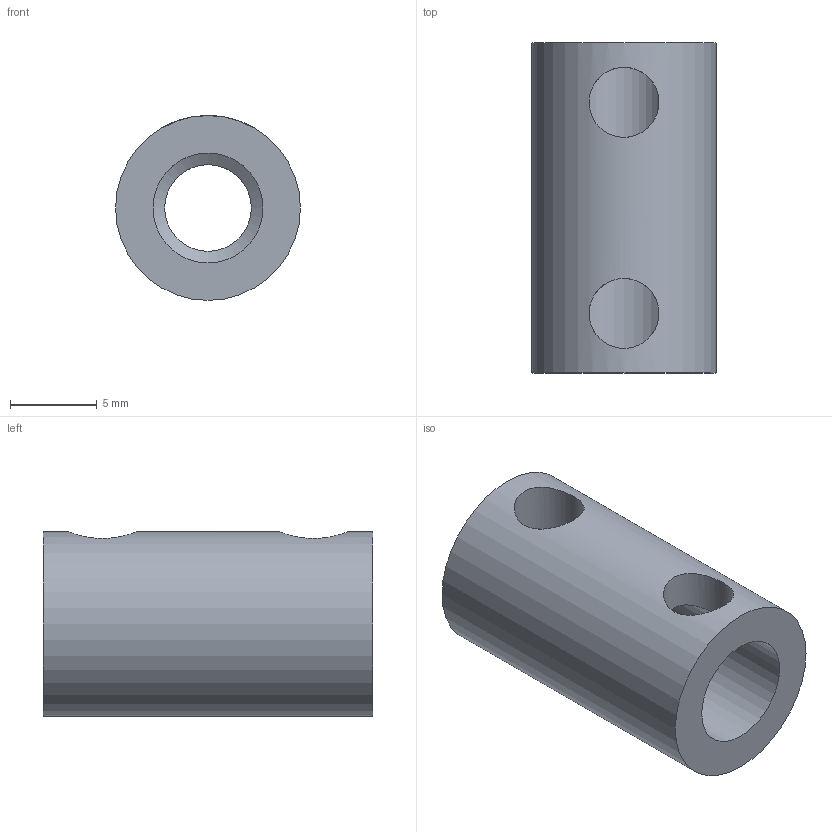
import cadquery as cq
import math

outer_diameter = 10.67
length = 19.05
large_bore_diameter = 6.35
small_bore_diameter = 5.0
drill_point_angle = 118.0
screw_hole_diameter = 4.04
screw_hole_inset = 3.43

outer_radius = outer_diameter / 2
large_bore_radius = large_bore_diameter / 2
small_bore_radius = small_bore_diameter / 2
half_length = length / 2
large_bore_end = 0.0
cone_length = (large_bore_radius - small_bore_radius) / math.tan(math.radians(drill_point_angle / 2))
cone_end = large_bore_end + cone_length
screw_hole_offset = half_length - screw_hole_inset


def make_sleeve():
    """Cylinder with the stepped bore, revolved about the Y axis."""
    profile = (
        cq.Workplane("XY")
        .moveTo(large_bore_radius, -half_length)
        .lineTo(outer_radius, -half_length)
        .lineTo(outer_radius, half_length)
        .lineTo(small_bore_radius, half_length)
        .lineTo(small_bore_radius, cone_end)
        .lineTo(large_bore_radius, large_bore_end)
        .close()
    )
    return profile.revolve(360, (0, 0, 0), (0, 1, 0))


def make_screw_hole(y_position):
    """Radial hole from the axis out through the +Z wall."""
    return (
        cq.Workplane("XY")
        .center(0, y_position)
        .circle(screw_hole_diameter / 2)
        .extrude(outer_diameter)
    )


result = make_sleeve()
for hole_y in (-screw_hole_offset, screw_hole_offset):
    result = result.cut(make_screw_hole(hole_y))